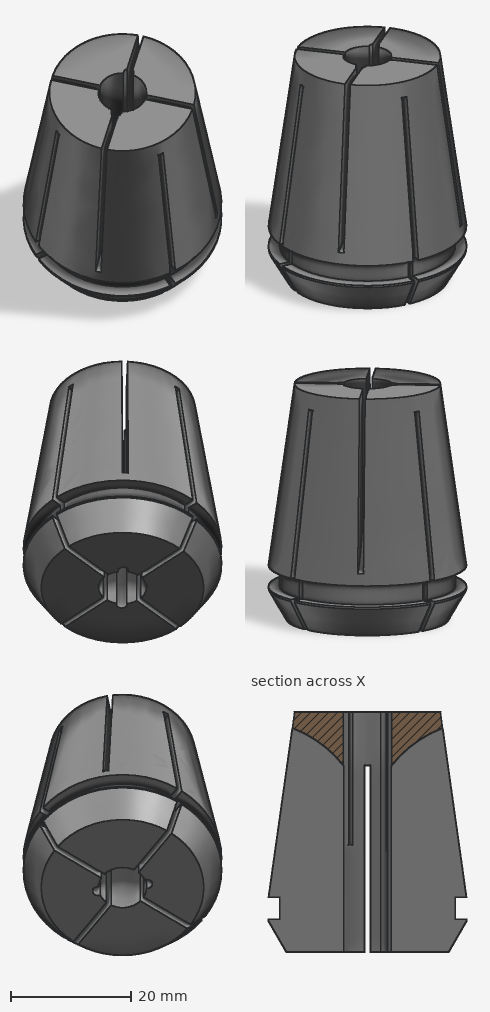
import cadquery as cq
import math

total_height = 40.0
max_diameter = 33.0
max_radius = max_diameter / 2
cone_half_angle = math.radians(8)
nose_half_angle = math.radians(30)
nose_height = 5.15
rim_height = 0.35
groove_radius = 14.65
groove_top = 9.1
bore_radius = 4.0

relief_radius = 0.87
relief_pitch_radius = 4.15
relief_angles = (135, 315)

slot_width = 0.95
saw_radius = 20.0
slot_reach = max_radius + 1.0
lower_slot_angles = (0, 90, 180, 270)
lower_slot_bore_height = 31.05
lower_slot_outer_height = 37.3
upper_slot_angles = (45, 135, 225, 315)
upper_slot_bore_height = 17.9
upper_slot_outer_height = 11.1


def cone_radius(height):
    return max_radius - (height - groove_top) * math.tan(cone_half_angle)


def turn_about_z(shape, angle):
    return shape.rotate((0, 0, 0), (0, 0, 1), angle)


def make_body():
    nose_radius = max_radius - nose_height * math.tan(nose_half_angle)
    rim_top = nose_height + rim_height
    outline = [
        (0, 0),
        (nose_radius, 0),
        (max_radius, nose_height),
        (max_radius, rim_top),
        (groove_radius, rim_top),
        (groove_radius, groove_top),
        (max_radius, groove_top),
        (cone_radius(total_height), total_height),
        (0, total_height),
    ]
    return cq.Workplane("XZ").polyline(outline).close().revolve(360, (0, 0, 0), (0, 1, 0))


def make_bore():
    bore = cq.Workplane("XY").circle(bore_radius).extrude(total_height)
    for angle in relief_angles:
        relief = cq.Workplane("XY").center(relief_pitch_radius, 0)
        relief = relief.circle(relief_radius).extrude(total_height)
        bore = bore.union(turn_about_z(relief, angle))
    return bore


def make_slot(open_height, bore_height, outer_height):
    """Radial slot along +X, open at open_height and closed by an arc of the saw's edge."""
    outer_radius = cone_radius(outer_height)
    run = outer_radius - bore_radius
    rise = outer_height - bore_height
    chord = math.hypot(run, rise)
    sagitta = saw_radius - math.sqrt(saw_radius**2 - (chord / 2) ** 2)
    bulge = sagitta / chord
    middle_radius = (bore_radius + outer_radius) / 2 - bulge * abs(rise)
    middle_height = (bore_height + outer_height) / 2 + math.copysign(bulge * run, rise)
    return (
        cq.Workplane("XZ")
        .moveTo(0, open_height)
        .lineTo(0, bore_height)
        .lineTo(bore_radius, bore_height)
        .threePointArc((middle_radius, middle_height), (outer_radius, outer_height))
        .lineTo(slot_reach, outer_height)
        .lineTo(slot_reach, open_height)
        .close()
        .extrude(slot_width / 2, both=True)
    )


def cut_slots(body, slot, angles):
    for angle in angles:
        body = body.cut(turn_about_z(slot, angle))
    return body


lower_slot = make_slot(0, lower_slot_bore_height, lower_slot_outer_height)
upper_slot = make_slot(total_height, upper_slot_bore_height, upper_slot_outer_height)

result = make_body().cut(make_bore())
result = cut_slots(result, lower_slot, lower_slot_angles)
result = cut_slots(result, upper_slot, upper_slot_angles)